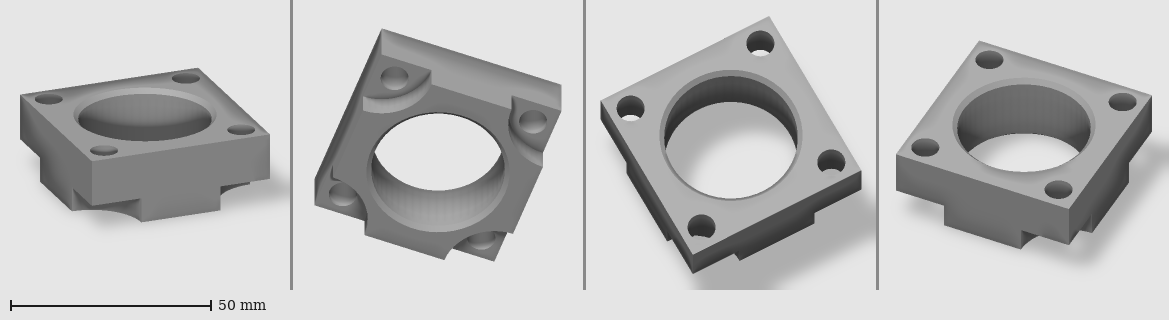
import cadquery as cq

side = 48.0
height = 18.45

hole_inset = 5.5
hole_diameter = 7.0
relief_height = 6.5
relief_radius = 13.35

bore_diameter = 33.4
bore_chamfer = 1.2

hole_spacing = side - 2 * hole_inset


def corner_cylinders(spacing, radius, length):
    """Four upright cylinders on the corners of a centred square, starting at the underside."""
    corners = cq.Workplane("XY").rect(spacing, spacing, forConstruction=True).vertices()
    return corners.circle(radius).extrude(length)


block = cq.Workplane("XY").box(side, side, height, centered=(True, True, False))

bore = cq.Workplane("XY").circle(bore_diameter / 2).extrude(height)
block = block.cut(bore)
block = block.edges("%CIRCLE").chamfer(bore_chamfer)

reliefs = corner_cylinders(side, relief_radius, relief_height)
holes = corner_cylinders(hole_spacing, hole_diameter / 2, height)

result = block.cut(reliefs).cut(holes)